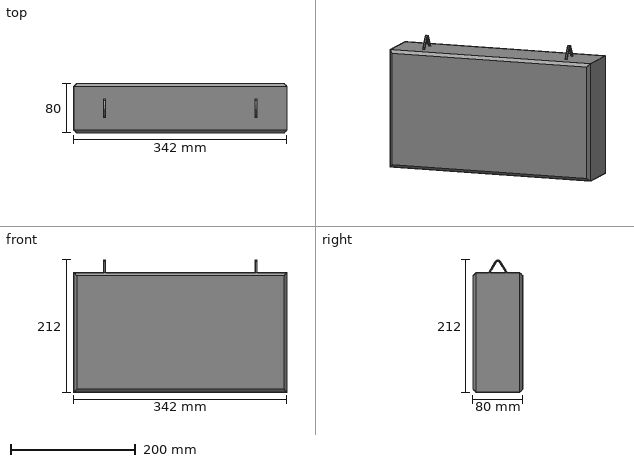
import cadquery as cq
import math

length = 342.0
depth = 80.0
block_height = 192.0
rim_bevel = 5.0

loop_height = 20.0
loop_base_width = 30.0
loop_spacing = 243.0
strip_width = 3.0
strip_thickness = 2.0
peak_outer_radius = 5.0

half_base = loop_base_width / 2
peak_center_height = loop_height - peak_outer_radius
leg_tilt = math.acos(peak_outer_radius / math.hypot(half_base, peak_center_height)) - math.atan2(
    peak_center_height, half_base
)


def make_block():
    block = cq.Workplane("XY").box(length, depth, block_height, centered=(True, True, False))
    return block.faces("<Y or >Y").edges().chamfer(rim_bevel)


def loop_profile(radius):
    """Region under a rounded peak of the given radius, drawn across Y and Z."""
    peak_center_z = block_height + peak_center_height
    tangent_y = radius * math.cos(leg_tilt)
    tangent_z = peak_center_z + radius * math.sin(leg_tilt)
    foot_y = tangent_y + (tangent_z - block_height) * math.tan(leg_tilt)
    return (
        cq.Workplane("YZ")
        .moveTo(-foot_y, block_height)
        .lineTo(-tangent_y, tangent_z)
        .threePointArc((0, peak_center_z + radius), (tangent_y, tangent_z))
        .lineTo(foot_y, block_height)
        .close()
    )


def make_loop(center_x):
    outside = loop_profile(peak_outer_radius).extrude(strip_width / 2, both=True)
    opening = loop_profile(peak_outer_radius - strip_thickness).extrude(strip_width, both=True)
    return outside.cut(opening).translate((center_x, 0, 0))


result = make_block()
for side in (-1, 1):
    result = result.union(make_loop(side * loop_spacing / 2))